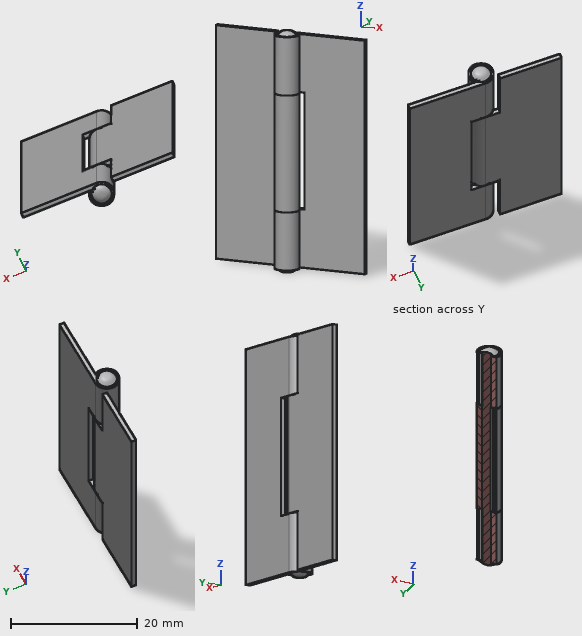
import cadquery as cq
import math

total_height = 39.3
hinge_width = 26.0
leaf_height = 38.0
middle_knuckle_height = 19.02
knuckle_radius = 2.0
sheet_thickness = 0.83
notch_edge_offset = 2.48
curl_gap = 0.05
head_radius = 1.6
shoulder_radius = 0.85
shoulder_height = 0.55

bore_radius = knuckle_radius - sheet_thickness
head_height = (total_height - leaf_height) / 2
end_knuckle_height = (leaf_height - middle_knuckle_height) / 2
end_knuckle_offset = (middle_knuckle_height + end_knuckle_height) / 2
half_width = hinge_width / 2

curl_end_angle = math.asin((bore_radius - curl_gap) / knuckle_radius)
curl_middle_angle = curl_end_angle / 2 - 3 * math.pi / 4


def polar(radius, angle):
    """Point in the XY plane at a distance and angle from the hinge axis."""
    return (radius * math.cos(angle), radius * math.sin(angle))


def curled_strip(height, center_z):
    """Sheet reaching toward +X whose edge is rolled into a knuckle round the axis."""
    return (
        cq.Workplane("XY", origin=(0, 0, center_z - height / 2))
        .moveTo(half_width, knuckle_radius)
        .lineTo(0, knuckle_radius)
        .threePointArc(
            polar(knuckle_radius, curl_middle_angle),
            polar(knuckle_radius, curl_end_angle),
        )
        .lineTo(*polar(bore_radius, curl_end_angle))
        .threePointArc(
            polar(bore_radius, curl_middle_angle),
            (0, bore_radius),
        )
        .lineTo(half_width, bore_radius)
        .close()
        .extrude(height)
    )


def flat_plate():
    """Full-height flat part of a leaf on the +X side, outside the notches."""
    return (
        cq.Workplane("XY")
        .box(half_width - notch_edge_offset, sheet_thickness, leaf_height)
        .translate(
            ((half_width + notch_edge_offset) / 2, knuckle_radius - sheet_thickness / 2, 0)
        )
    )


def make_end_knuckle_leaf():
    """Leaf on the +X side with a knuckle at each end."""
    leaf = flat_plate()
    for side in (-1, 1):
        leaf = leaf.union(curled_strip(end_knuckle_height, side * end_knuckle_offset))
    return leaf


def make_middle_knuckle_leaf():
    """Leaf on the -X side with one knuckle at mid height."""
    leaf = flat_plate().union(curled_strip(middle_knuckle_height, 0))
    return leaf.mirror("YZ")


def make_pin():
    """Pin filling the knuckle bores, with a domed head sloping 45 degrees at its rim over each end."""
    half_leaf = leaf_height / 2
    half_total = total_height / 2
    shoulder_z = half_leaf + shoulder_height
    return (
        cq.Workplane("XZ")
        .moveTo(0, -half_total)
        .spline(
            [(shoulder_radius, -shoulder_z), (head_radius, -half_leaf)],
            tangents=[(1, 0), (1, 1)],
            includeCurrent=True,
        )
        .lineTo(bore_radius, -half_leaf)
        .lineTo(bore_radius, half_leaf)
        .lineTo(head_radius, half_leaf)
        .spline(
            [(shoulder_radius, shoulder_z), (0, half_total)],
            tangents=[(-1, 1), (-1, 0)],
            includeCurrent=True,
        )
        .close()
        .revolve(360, (0, 0, 0), (0, 1, 0))
    )


end_knuckle_leaf = make_end_knuckle_leaf()
middle_knuckle_leaf = make_middle_knuckle_leaf()
pin = make_pin()

result = cq.Compound.makeCompound(
    [end_knuckle_leaf.val(), middle_knuckle_leaf.val(), pin.val()]
)